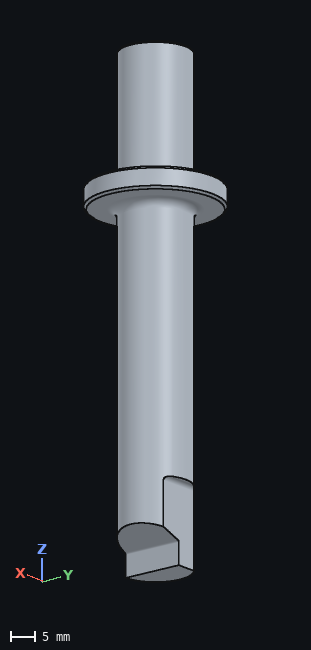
import cadquery as cq
import math

total_length = 113.0
shaft_diameter = 16.0
shaft_radius = shaft_diameter / 2

flange_diameter = 30.0
flange_thickness = 5.0
flange_chamfer = 0.6
flange_fillet = 2.0

pin_length = 29.4
pin_chamfer = 0.5

flat_offset = 6.2
flat_length = 18.3
flat_fillet = 1.0

notch_height = 5.3
notch_roof_angle = 20.0
notch_fillet = 0.5

flange_top = total_length - pin_length
flange_bottom = flange_top - flange_thickness

cut_margin = 1.1
cut_reach = shaft_radius + cut_margin


def make_flat_cutter():
    """Block beyond the flat, its inner top edge rounded to fillet the step."""
    return (
        cq.Workplane("XY")
        .box(2 * cut_reach, cut_reach - flat_offset, flat_length + cut_margin, centered=(True, False, False))
        .translate((0, flat_offset, -cut_margin))
        .edges("|X and >Z and <Y")
        .fillet(flat_fillet)
    )


def make_notch_cutter():
    """Prism on the +X side of the axis, its top rising outward."""
    outer_height = notch_height + cut_reach * math.tan(math.radians(notch_roof_angle))
    return (
        cq.Workplane("XZ")
        .moveTo(0, -cut_margin)
        .lineTo(0, notch_height)
        .lineTo(cut_reach, outer_height)
        .lineTo(cut_reach, -cut_margin)
        .close()
        .extrude(cut_reach, both=True)
        .edges("|Y and <X")
        .edges(">Z")
        .fillet(notch_fillet)
    )


def make_flanged_shaft():
    """Lower shaft with its flange, filleted underneath and cut at the tip."""
    shaft = cq.Workplane("XY").circle(shaft_radius).extrude(flange_top)
    flange = (
        cq.Workplane("XY", origin=(0, 0, flange_bottom))
        .circle(flange_diameter / 2)
        .extrude(flange_thickness)
        .edges()
        .chamfer(flange_chamfer)
    )
    body = shaft.union(flange)
    inner_edge = cq.selectors.RadiusNthSelector(0)
    body = body.faces("|Z").faces("<Z[1]").edges(inner_edge).fillet(flange_fillet)
    return body.cut(make_flat_cutter()).cut(make_notch_cutter())


def make_upper_pin():
    """Plain pin seated on top of the flange, chamfered at its free end."""
    return (
        cq.Workplane("XY", origin=(0, 0, flange_top))
        .circle(shaft_radius)
        .extrude(pin_length)
        .faces(">Z")
        .chamfer(pin_chamfer)
    )


flanged_shaft = make_flanged_shaft()
upper_pin = make_upper_pin()

result = cq.Compound.makeCompound([flanged_shaft.solids().val(), upper_pin.val()])